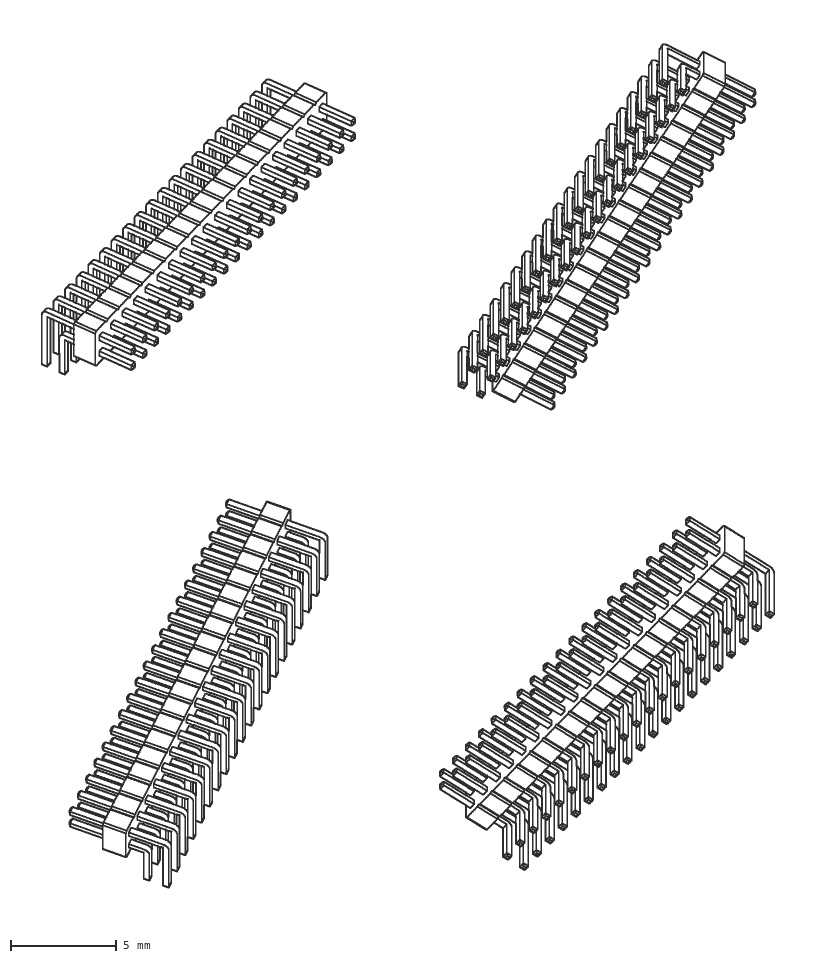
import cadquery as cq


PITCH = 1.0
PINS_PER_ROW = 20

BODY_DEPTH = 1.2
BODY_HEIGHT = 2.25
BODY_CHAMFER = 0.1

PIN_WIDTH = 0.3
TIP_CHAMFER = 0.08
REAR_REACH = 2.05
FRONT_REACH = 1.9
LEG_DROP = 1.85
ROW_DROP = 0.02

half_depth = BODY_DEPTH / 2
half_height = BODY_HEIGHT / 2
tip_x = half_depth + FRONT_REACH
tip_z = -half_height - LEG_DROP
upper_leg_x = -half_depth - REAR_REACH + PIN_WIDTH / 2
upper_row_z = PITCH / 2 - ROW_DROP

column_ys = [(i - (PINS_PER_ROW - 1) / 2) * PITCH for i in range(PINS_PER_ROW)]


def housing_segment():
    """One pitch of the housing, chamfered along its four X-direction edges."""
    return cq.Workplane("XY").box(BODY_DEPTH, PITCH, BODY_HEIGHT).edges("|X").chamfer(BODY_CHAMFER)


def bent_pin(leg_x, arm_z):
    """Square pin with its leg centred on leg_x and its arm centred on arm_z."""
    half = PIN_WIDTH / 2
    outer_x = leg_x - half
    inner_x = leg_x + half
    top_z = arm_z + half
    inner_z = arm_z - half
    pin = (
        cq.Workplane("XZ")
        .moveTo(outer_x, tip_z)
        .lineTo(outer_x, inner_z)
        .radiusArc((inner_x, top_z), PIN_WIDTH)
        .lineTo(tip_x, top_z)
        .lineTo(tip_x, inner_z)
        .lineTo(inner_x, inner_z)
        .lineTo(inner_x, tip_z)
        .close()
        .extrude(half, both=True)
    )
    return pin.faces(">X or <Z").chamfer(TIP_CHAMFER)


segment = housing_segment()
upper_pin = bent_pin(upper_leg_x, upper_row_z)
lower_pin = bent_pin(upper_leg_x + PITCH, upper_row_z - PITCH)
column = segment.union(upper_pin).union(lower_pin).val()

columns = [column.translate(cq.Vector(0, y, 0)) for y in column_ys]
housing_with_pins = columns[0].fuse(*columns[1:])

result = cq.Workplane("XY").newObject([housing_with_pins]).clean()